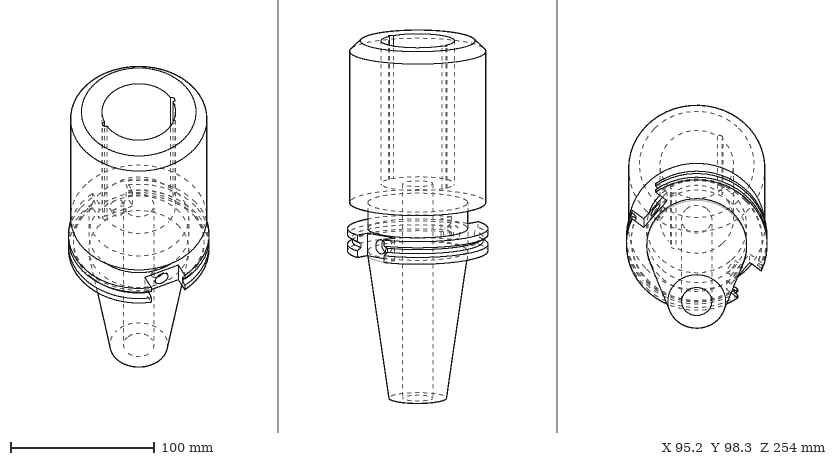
import cadquery as cq
import math


total_height = 254.0
taper_height = 101.5
flange_bottom = 104.6
flange_top = 120.6
body_bottom = 139.0
body_chamfer_height = 7.4

taper_tip_radius = 40.5 / 2
neck_radius = 69.8 / 2
flange_radius = 98.3 / 2
body_radius = 95.2 / 2
body_top_radius = 80.0 / 2

groove_floor_radius = 45.7
groove_flank_angle = 30.0
groove_bottom = 109.5
groove_top = 116.3
groove_flank_height = (flange_radius - groove_floor_radius) * math.tan(math.radians(groove_flank_angle))

slot_width = 26.0
slot_floor_distance = 37.0
slot_hole_diameter = 10.0
slot_hole_depth = 6.0

through_bore_diameter = 21.0
socket_diameter = 51.3
socket_depth = 101.5
notch_radius = 2.0


def make_outer_shape():
    """Revolve the half outline of the taper, flange, neck and body."""
    outline = [
        (0, 0),
        (taper_tip_radius, 0),
        (neck_radius, taper_height),
        (neck_radius, flange_bottom),
        (flange_radius, flange_bottom),
        (flange_radius, groove_bottom),
        (groove_floor_radius, groove_bottom + groove_flank_height),
        (groove_floor_radius, groove_top - groove_flank_height),
        (flange_radius, groove_top),
        (flange_radius, flange_top),
        (neck_radius, flange_top),
        (neck_radius, body_bottom),
        (body_radius, body_bottom),
        (body_radius, total_height - body_chamfer_height),
        (body_top_radius, total_height),
        (0, total_height),
    ]
    return cq.Workplane("XZ").polyline(outline).close().revolve(360, (0, 0), (0, 1))


def make_drive_slots():
    """Two flat-floored slots that cross the full flange thickness."""
    slot_length = flange_radius - slot_floor_distance
    slot_center = slot_floor_distance + slot_length / 2
    return (
        cq.Workplane("XY", origin=(0, 0, flange_bottom))
        .pushPoints([(-slot_center, 0), (slot_center, 0)])
        .rect(slot_length, slot_width)
        .extrude(flange_top - flange_bottom)
    )


def make_slot_holes():
    """Shallow blind radial hole in the floor of each slot."""
    hole_height = (flange_bottom + flange_top) / 2
    hole_bottom_distance = slot_floor_distance - slot_hole_depth
    hole = (
        cq.Workplane("YZ", origin=(hole_bottom_distance, 0, hole_height))
        .circle(slot_hole_diameter / 2)
        .extrude(slot_hole_depth)
    )
    return hole.union(hole.mirror("YZ"))


def make_socket():
    """Tool socket with a round notch on each of its -Y and +Y sides."""
    floor = cq.Workplane("XY", origin=(0, 0, total_height - socket_depth))
    socket = floor.circle(socket_diameter / 2).extrude(socket_depth)
    notch_places = [(0, side * socket_diameter / 2) for side in (-1, 1)]
    notches = floor.pushPoints(notch_places).circle(notch_radius).extrude(socket_depth)
    return socket.union(notches)


through_bore = cq.Workplane("XY").circle(through_bore_diameter / 2).extrude(total_height)

result = (
    make_outer_shape()
    .cut(make_drive_slots())
    .cut(make_slot_holes())
    .cut(through_bore)
    .cut(make_socket())
)